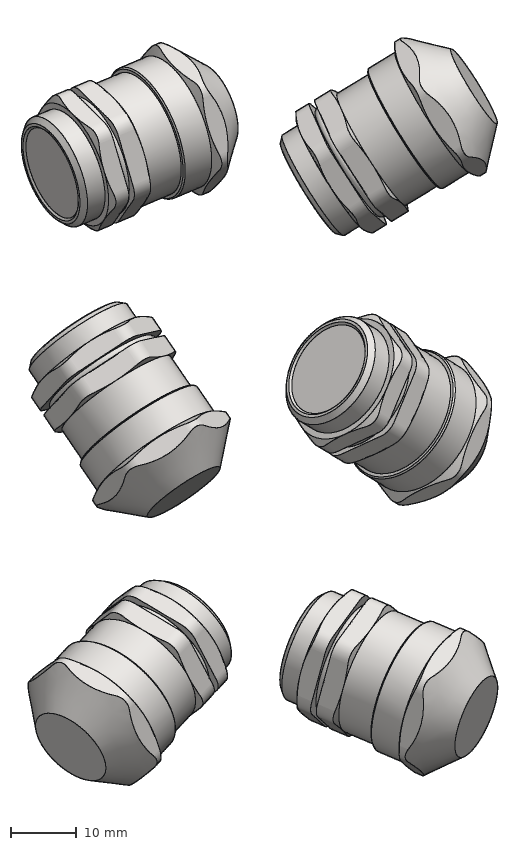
import cadquery as cq
import math

LENGTH = 29.7
CHAMFER_SLOPE = math.tan(math.radians(30))
BODY_HEX_SLOPE = math.tan(math.radians(20))
DIAGONAL_SLOPE = 1.0
CORNER_RADIUS = 3.0

thread_end = 4.0
lock_hex_end = 7.0
seal_end = 8.0
body_hex_end = 11.32
body_end = 17.2
collar_end = 22.25

thread_diameter = 18.0
thread_chamfer = 0.83
recess_diameter = 15.38
recess_depth = 0.33
hex_across_flats = 20.0
seal_front_radius = 9.4
seal_crest_radius = 9.68
seal_rear_radius = 9.65
body_diameter = 20.0
collar_diameter = 21.5
collar_chamfer = 0.25
nut_across_flats = 22.0
nose_diameter = 13.36


def cylinder(diameter, start, end):
    """Round section along Y from start to end."""
    plane = cq.Workplane("XZ", origin=(0, start, 0))
    return plane.circle(diameter / 2).extrude(start - end)


def hexagon(across_flats, start, end):
    """Hexagon with rounded corners, flats facing +Z and -Z."""
    corner_diameter = across_flats / math.cos(math.radians(30))
    plane = cq.Workplane("XZ", origin=(0, start, 0))
    prism = plane.polygon(6, corner_diameter).extrude(start - end)
    return prism.edges("|Y").fillet(CORNER_RADIUS)


def cone_envelope(diameter, face, far, slope):
    """Cone that widens from a given diameter at face until it reaches far."""
    far_radius = diameter / 2 + abs(far - face) / slope
    profile = [(0, face), (diameter / 2, face), (far_radius, far), (0, far)]
    return cq.Workplane("XY").polyline(profile).close().revolve(360, (0, 0, 0), (0, 1, 0))


def threaded_end():
    """Chamfered round end with a shallow conical recess in its face."""
    sleeve = cylinder(thread_diameter, 0, thread_end).faces("<Y").chamfer(thread_chamfer)
    recess = cone_envelope(recess_diameter - 2 * recess_depth, recess_depth, 0, DIAGONAL_SLOPE)
    return sleeve.cut(recess)


def lock_hex():
    """Hexagon with its corners chamfered towards the threaded end."""
    blank = hexagon(hex_across_flats, thread_end, lock_hex_end)
    return blank.intersect(cone_envelope(hex_across_flats, thread_end, lock_hex_end, CHAMFER_SLOPE))


def seal_ring():
    """Sealing ring with a bulged rim, narrower towards the lock hexagon."""
    middle = (lock_hex_end + seal_end) / 2
    profile = (
        cq.Workplane("XY")
        .moveTo(0, lock_hex_end)
        .lineTo(seal_front_radius, lock_hex_end)
        .threePointArc((seal_crest_radius, middle), (seal_rear_radius, seal_end))
        .lineTo(0, seal_end)
        .close()
    )
    return profile.revolve(360, (0, 0, 0), (0, 1, 0))


def body_hex():
    """Hexagon with its corners chamfered towards the nut."""
    blank = hexagon(hex_across_flats, seal_end, body_hex_end)
    return blank.intersect(cone_envelope(hex_across_flats, body_hex_end, seal_end, BODY_HEX_SLOPE))


def collar():
    """Round collar below the nut with a small front chamfer."""
    return cylinder(collar_diameter, body_end, collar_end).faces("<Y").chamfer(collar_chamfer)


def domed_nut():
    """Hexagonal nut with a conical nose and chamfered underside corners."""
    blank = hexagon(nut_across_flats, collar_end, LENGTH)
    underside = cone_envelope(collar_diameter, collar_end, LENGTH, CHAMFER_SLOPE)
    nose = cone_envelope(nose_diameter, LENGTH, collar_end, DIAGONAL_SLOPE)
    return blank.intersect(underside).intersect(nose)


result = (
    threaded_end()
    .union(lock_hex())
    .union(seal_ring())
    .union(body_hex())
    .union(cylinder(body_diameter, body_hex_end, body_end))
    .union(collar())
    .union(domed_nut())
)